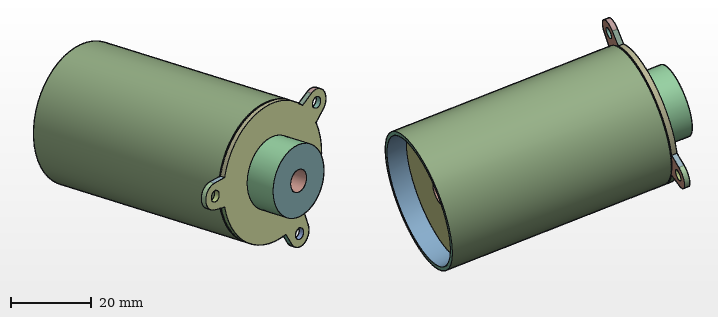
import cadquery as cq
import math

total_length = 71.0
boss_length = 8.5
flange_thickness = 1.5
groove_width = 0.2
recess_depth = 5.4
flange_end = total_length - boss_length
flange_start = flange_end - flange_thickness
body_length = flange_start - groove_width

body_radius = 18.45
groove_radius = 18.2
recess_radius = 17.4
boss_radius = 9.6
bore_radius = 3.0

ear_angles = (0, 140, 242)
ear_hole_distance = 21.6
ear_tip_radius = 3.55
ear_hole_radius = 1.5
ear_flare_angle = math.radians(6.2)
ear_root_distance = 14.2


def cylinder(start, length, radius):
    """Solid cylinder on the X axis."""
    return cq.Workplane("YZ", origin=(start, 0, 0)).circle(radius).extrude(length)


def make_ear(angle):
    """Ear toward -Y with a round tip and tangent flared sides, turned about X."""
    tangent_y = -ear_hole_distance - ear_tip_radius * math.sin(ear_flare_angle)
    tangent_z = ear_tip_radius * math.cos(ear_flare_angle)
    root_z = tangent_z + (-ear_root_distance - tangent_y) * math.tan(ear_flare_angle)
    ear = (
        cq.Workplane("YZ", origin=(flange_start, 0, 0))
        .moveTo(-ear_root_distance, -root_z)
        .lineTo(tangent_y, -tangent_z)
        .threePointArc((-ear_hole_distance - ear_tip_radius, 0), (tangent_y, tangent_z))
        .lineTo(-ear_root_distance, root_z)
        .close()
        .extrude(flange_thickness)
    )
    hole = (
        cq.Workplane("YZ", origin=(flange_start, -ear_hole_distance, 0))
        .circle(ear_hole_radius)
        .extrude(flange_thickness)
    )
    return ear.cut(hole).rotate((0, 0, 0), (1, 0, 0), -angle)


result = cylinder(0, body_length, body_radius)
result = result.union(cylinder(body_length, groove_width, groove_radius))
result = result.union(cylinder(flange_start, flange_thickness, body_radius))
result = result.union(cylinder(flange_end, boss_length, boss_radius))

for ear_angle in ear_angles:
    result = result.union(make_ear(ear_angle))

result = result.cut(cylinder(0, recess_depth, recess_radius))
result = result.cut(cylinder(0, total_length, bore_radius))